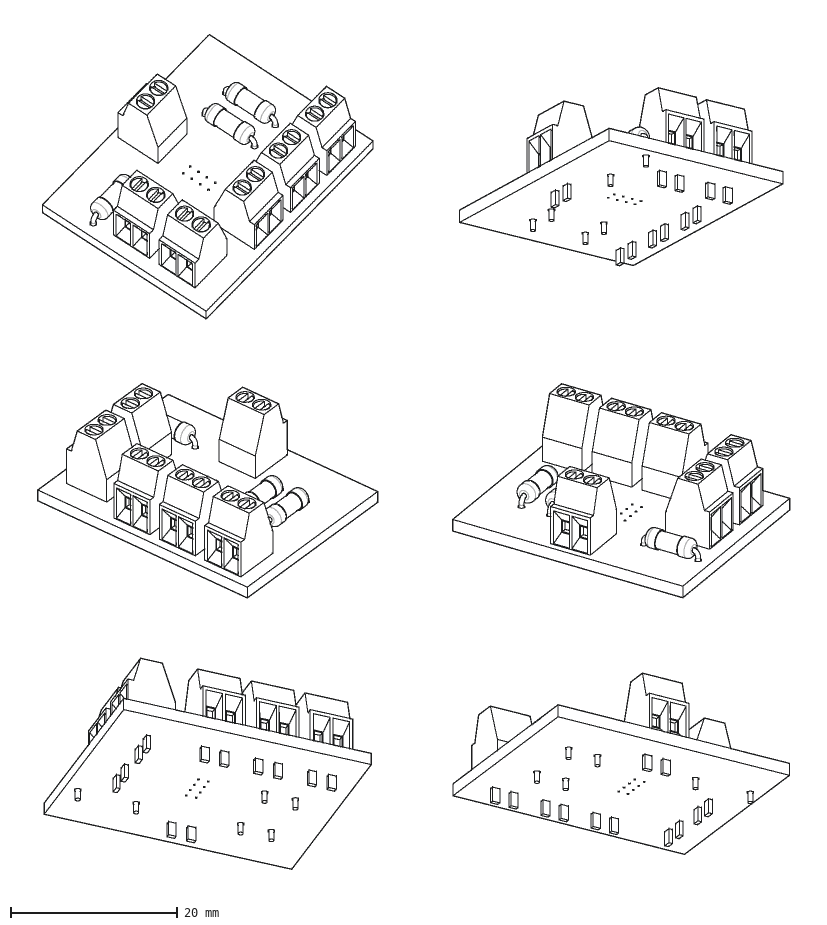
import cadquery as cq


BOARD_X = 25.25
BOARD_Y = 32.25
BOARD_THICK = 1.6
PAD_HOLE_DIA = 0.2
PAD_PITCH = 1.3
PAD_COLUMNS = 4
PAD_ROWS = 2
PAD_FIELD_CENTER = (-0.32, -1.23)

TERMINAL_WIDTH = 5.55
TERMINAL_DEPTH = 6.2
TERMINAL_HEIGHT = 8.5
LEDGE_DEPTH = 0.75
LEDGE_HEIGHT = 5.13
TOP_FRONT = 1.65
TOP_BACK = 4.48
BACK_WALL_HEIGHT = 3.32
POLE_PITCH = 2.55
POLE_OFFSETS = (-POLE_PITCH / 2, POLE_PITCH / 2)
SCREW_Y = (TOP_FRONT + TOP_BACK) / 2

SCREW_HOLE_DIA = 2.2
SCREW_DIA = 2.0
SCREW_HOLE_DEPTH = 1.0
SCREW_DROP = 0.2
SCREW_SLOT_WIDTH = 0.68

ENTRY_WIDTH = 2.2
ENTRY_BOTTOM = 0.13
ENTRY_TOP = 4.65
ENTRY_DEPTH = 1.05
THROAT_WIDTH = 1.25
THROAT_BOTTOM = 1.32
THROAT_TOP = 3.05
CONTACT_MARGIN = 0.13
CONTACT_DEPTH = 0.65

PIN_WIDTH = 1.0
PIN_THICK = 0.5
PIN_PROTRUSION = 1.87

BARREL_DIA = 2.25
CAP_DIA = 2.5
CAP_LENGTH = 1.6
CAP_FACE_DIA = 1.3
RESISTOR_LENGTH = 6.32
RESISTOR_AXIS_Z = CAP_DIA / 2
LEAD_DIA = 0.6
LEAD_HOLE_DIA = 0.8
LEAD_PITCH = 7.6
LEAD_OFFSETS = (-LEAD_PITCH / 2, LEAD_PITCH / 2)
LEAD_BEND_RADIUS = 0.9
LEAD_PROTRUSION = 1.32

RIGHT_FACE_X = 11.45
LEFT_FACE_X = -11.75
FRONT_FACE_Y = -14.25
TERMINAL_SPACING = 7.0
RIGHT_MIDDLE_Y = 4.42
LEFT_Y = 0.13
FRONT_FIRST_X = -0.35
TERMINAL_PLACES = [
    (RIGHT_FACE_X, RIGHT_MIDDLE_Y + TERMINAL_SPACING, 90),
    (RIGHT_FACE_X, RIGHT_MIDDLE_Y, 90),
    (RIGHT_FACE_X, RIGHT_MIDDLE_Y - TERMINAL_SPACING, 90),
    (LEFT_FACE_X, LEFT_Y, -90),
    (FRONT_FIRST_X, FRONT_FACE_Y, 0),
    (FRONT_FIRST_X + TERMINAL_SPACING, FRONT_FACE_Y, 0),
]

RESISTOR_PAIR_X = -1.87
RESISTOR_PAIR_Y = 6.6
RESISTOR_PAIR_SPACING = 4.0
LONE_RESISTOR_X = -6.13
LONE_RESISTOR_Y = -10.6
RESISTOR_PLACES = [
    (RESISTOR_PAIR_X, RESISTOR_PAIR_Y, 0),
    (RESISTOR_PAIR_X, RESISTOR_PAIR_Y + RESISTOR_PAIR_SPACING, 0),
    (LONE_RESISTOR_X, LONE_RESISTOR_Y, 90),
]


def place(body, spot):
    """Turn a body about the Z axis and move it to its spot on the board."""
    x, y, turn = spot
    return body.rotate((0, 0, 0), (0, 0, 1), turn).translate((x, y, 0))


def terminal_pins():
    """Both flat terminal pins, running down from the top face of the board."""
    return (
        cq.Workplane("XY")
        .pushPoints([(x, SCREW_Y) for x in POLE_OFFSETS])
        .rect(PIN_WIDTH, PIN_THICK)
        .extrude(-BOARD_THICK - PIN_PROTRUSION)
    )


def lead_hole_cutter():
    """Clearance holes in the board for the two leads of one resistor."""
    return (
        cq.Workplane("XY")
        .pushPoints([(x, 0) for x in LEAD_OFFSETS])
        .circle(LEAD_HOLE_DIA / 2)
        .extrude(-BOARD_THICK)
    )


def make_board():
    """Rectangular plate with pin slots, lead holes and a field of small holes."""
    board = cq.Workplane("XY").rect(BOARD_X, BOARD_Y).extrude(-BOARD_THICK)
    for spot in TERMINAL_PLACES:
        board = board.cut(place(terminal_pins(), spot))
    for spot in RESISTOR_PLACES:
        board = board.cut(place(lead_hole_cutter(), spot))
    pad_holes = (
        cq.Workplane("XY")
        .center(*PAD_FIELD_CENTER)
        .rarray(PAD_PITCH, PAD_PITCH, PAD_COLUMNS, PAD_ROWS)
        .circle(PAD_HOLE_DIA / 2)
        .extrude(-BOARD_THICK)
    )
    return board.cut(pad_holes)


def housing_block():
    """Stepped and sloped block of the terminal, extruded from its side outline."""
    return (
        cq.Workplane("YZ")
        .moveTo(0, 0)
        .lineTo(0, LEDGE_HEIGHT)
        .lineTo(LEDGE_DEPTH, LEDGE_HEIGHT)
        .lineTo(TOP_FRONT, TERMINAL_HEIGHT)
        .lineTo(TOP_BACK, TERMINAL_HEIGHT)
        .lineTo(TERMINAL_DEPTH, BACK_WALL_HEIGHT)
        .lineTo(TERMINAL_DEPTH, 0)
        .close()
        .extrude(TERMINAL_WIDTH / 2, both=True)
    )


def wire_entry(x):
    """Funnel-shaped wire opening that ends in a flat step around a smaller recess."""
    entry_mid = (ENTRY_BOTTOM + ENTRY_TOP) / 2
    throat_height = THROAT_TOP - THROAT_BOTTOM
    throat_mid = (THROAT_BOTTOM + THROAT_TOP) / 2
    funnel = (
        cq.Workplane("XZ")
        .center(x, entry_mid)
        .rect(ENTRY_WIDTH, ENTRY_TOP - ENTRY_BOTTOM)
        .workplane(offset=-ENTRY_DEPTH)
        .center(0, throat_mid - entry_mid)
        .rect(THROAT_WIDTH, throat_height)
        .loft(ruled=True)
    )
    contact_recess = (
        cq.Workplane("XZ", origin=(x, ENTRY_DEPTH, throat_mid))
        .rect(THROAT_WIDTH - 2 * CONTACT_MARGIN, throat_height - 2 * CONTACT_MARGIN)
        .extrude(-CONTACT_DEPTH)
    )
    return funnel.union(contact_recess)


def screw_recess(x):
    """Screw hole less the slotted screw head that stands in it."""
    floor_z = TERMINAL_HEIGHT - SCREW_HOLE_DEPTH
    head_height = SCREW_HOLE_DEPTH - SCREW_DROP
    floor = cq.Workplane("XY", origin=(x, SCREW_Y, floor_z))
    hole = floor.circle(SCREW_HOLE_DIA / 2).extrude(SCREW_HOLE_DEPTH)
    slot = floor.rect(SCREW_SLOT_WIDTH, SCREW_HOLE_DIA).extrude(head_height)
    head = floor.circle(SCREW_DIA / 2).extrude(head_height).cut(slot)
    return hole.cut(head)


def make_terminal():
    """Two-pole screw terminal with its pins."""
    terminal = housing_block().union(terminal_pins())
    for x in POLE_OFFSETS:
        terminal = terminal.cut(wire_entry(x)).cut(screw_recess(x))
    return terminal


def make_resistor():
    """Barrel with two rounded end caps and two leads bent down through the board."""
    end_x = RESISTOR_LENGTH / 2
    cap_round = (CAP_DIA - CAP_FACE_DIA) / 2
    axis_plane = cq.Workplane("YZ", origin=(0, 0, RESISTOR_AXIS_Z))
    barrel = axis_plane.circle(BARREL_DIA / 2).extrude(end_x - CAP_LENGTH, both=True)
    cap = (
        axis_plane.workplane(offset=end_x - CAP_LENGTH)
        .circle(CAP_DIA / 2)
        .extrude(CAP_LENGTH)
        .faces(">X")
        .edges()
        .fillet(cap_round)
    )
    lead_x = LEAD_PITCH / 2
    lead_bottom = -BOARD_THICK - LEAD_PROTRUSION
    bend_x = lead_x - LEAD_BEND_RADIUS
    bend_z = RESISTOR_AXIS_Z - LEAD_BEND_RADIUS
    lead_path = (
        cq.Workplane("XZ")
        .moveTo(lead_x, lead_bottom)
        .lineTo(lead_x, bend_z)
        .radiusArc((bend_x, RESISTOR_AXIS_Z), -LEAD_BEND_RADIUS)
    )
    lead = (
        cq.Workplane("XY", origin=(lead_x, 0, lead_bottom))
        .circle(LEAD_DIA / 2)
        .sweep(lead_path)
    )
    end = cap.union(lead)
    return barrel.union(end).union(end.mirror("YZ"))


board = make_board()
terminals = [place(make_terminal(), spot) for spot in TERMINAL_PLACES]
resistors = [place(make_resistor(), spot) for spot in RESISTOR_PLACES]

result = cq.Compound.makeCompound(
    [board.val()]
    + [terminal.val() for terminal in terminals]
    + [resistor.val() for resistor in resistors]
)